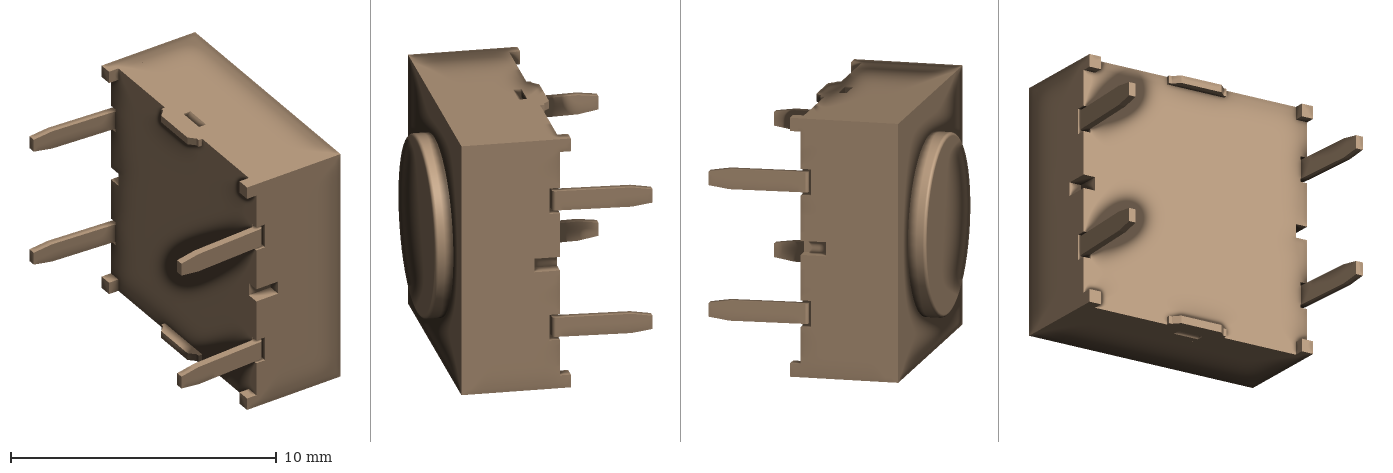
import cadquery as cq
import math


SIDE = 10.01
FOOT_HEIGHT = 0.42
BASE_THICKNESS = 0.98
COVER_HEIGHT = 2.8
BASE_BOTTOM = FOOT_HEIGHT
SEAM = BASE_BOTTOM + BASE_THICKNESS
COVER_TOP = SEAM + COVER_HEIGHT
HALF_SIDE = SIDE / 2

BUTTON_DIAMETER = 7.01
BUTTON_HEIGHT = 0.7
BUTTON_EDGE_RADIUS = 0.13

FOOT_SIZE = 0.51
NOTCH_WIDTH = 0.54
NOTCH_DEPTH = FOOT_SIZE

TAB_WIDTH = 2.56
TAB_THICKNESS = 0.3
TAB_TIP_WIDTH = 1.8
TAB_SHOULDER = 0.13
TAB_TIP_HEIGHT = 0.25
WINDOW_WIDTH = 1.07
WINDOW_HEIGHT = 0.64
LATCH_LAND = 0.32

PIN_THICKNESS = 0.29
PIN_WIDTH = 0.77
PIN_TIP_WIDTH = 0.53
PIN_TAPER_LENGTH = 0.8
PIN_PROTRUSION = 3.1
PIN_SPREAD = 10.46
PIN_PITCH = 5.08
PIN_TILT = math.radians(3.3)
PIN_BEND_RADIUS = 0.14
PIN_TOP = BASE_BOTTOM + PIN_THICKNESS

POCKET_WIDTH = 1.03
POCKET_DEPTH = 0.3
POCKET_HEIGHT = 0.4
POCKET_WALL = HALF_SIDE - POCKET_DEPTH


def block(x_size, z_size, y_low, y_high, x=0.0, z=0.0):
    """Box centred on (x, z) that fills the heights from y_low to y_high."""
    return cq.Workplane("XY").box(x_size, y_high - y_low, z_size).translate((x, (y_low + y_high) / 2, z))


def both_sides(body, plane):
    """The body together with its mirror image in the given plane."""
    return body.union(body.mirror(plane))


def tab_solid():
    """Snap tab on the +Z side: shoulders and a narrowed tip, with a latch window."""
    half_shoulder = TAB_WIDTH / 2 - TAB_SHOULDER
    tab = (
        cq.Workplane("XY", origin=(0, 0, HALF_SIDE - TAB_THICKNESS))
        .moveTo(-TAB_WIDTH / 2, SEAM)
        .lineTo(-TAB_WIDTH / 2, TAB_TIP_HEIGHT)
        .lineTo(-half_shoulder, TAB_TIP_HEIGHT)
        .lineTo(-TAB_TIP_WIDTH / 2, 0)
        .lineTo(TAB_TIP_WIDTH / 2, 0)
        .lineTo(half_shoulder, TAB_TIP_HEIGHT)
        .lineTo(TAB_WIDTH / 2, TAB_TIP_HEIGHT)
        .lineTo(TAB_WIDTH / 2, SEAM)
        .close()
        .extrude(TAB_THICKNESS)
    )
    window_z = HALF_SIDE - TAB_THICKNESS / 2
    return tab.cut(block(WINDOW_WIDTH, TAB_THICKNESS, SEAM - WINDOW_HEIGHT, SEAM, z=window_z))


def latch_solid():
    """Latch on the +Z side that fills the tab window: a flat land, then a ramp down to the tab slot."""
    slot_floor = HALF_SIDE - TAB_THICKNESS
    return (
        cq.Workplane("YZ")
        .moveTo(SEAM, slot_floor)
        .lineTo(SEAM, HALF_SIDE)
        .lineTo(SEAM - LATCH_LAND, HALF_SIDE)
        .lineTo(SEAM - WINDOW_HEIGHT, slot_floor)
        .close()
        .extrude(WINDOW_WIDTH / 2, both=True)
    )


def make_cover():
    cover = block(SIDE, SIDE, SEAM, COVER_TOP)
    return cover.union(both_sides(tab_solid(), "XY"))


def make_base():
    base = block(SIDE, SIDE, BASE_BOTTOM, SEAM)

    foot_center = HALF_SIDE - FOOT_SIZE / 2
    for x in (-foot_center, foot_center):
        for z in (-foot_center, foot_center):
            base = base.union(block(FOOT_SIZE, FOOT_SIZE, 0, BASE_BOTTOM, x, z))

    slot = block(TAB_WIDTH, TAB_THICKNESS, BASE_BOTTOM, SEAM, z=HALF_SIDE - TAB_THICKNESS / 2)
    base = base.cut(both_sides(slot, "XY")).union(both_sides(latch_solid(), "XY"))

    notch = block(NOTCH_DEPTH, NOTCH_WIDTH, BASE_BOTTOM, SEAM, x=HALF_SIDE - NOTCH_DEPTH / 2)
    base = base.cut(both_sides(notch, "YZ"))

    pocket_x = HALF_SIDE - POCKET_DEPTH / 2
    for z in (-PIN_PITCH / 2, PIN_PITCH / 2):
        pocket = block(POCKET_DEPTH, POCKET_WIDTH, BASE_BOTTOM, BASE_BOTTOM + POCKET_HEIGHT, pocket_x, z)
        base = base.cut(both_sides(pocket, "YZ"))
    return base


def make_button():
    return (
        cq.Workplane("XZ", origin=(0, COVER_TOP, 0))
        .circle(BUTTON_DIAMETER / 2)
        .extrude(-BUTTON_HEIGHT)
        .faces(">Y")
        .edges()
        .fillet(BUTTON_EDGE_RADIUS)
    )


def pin_face_outline():
    """Prism along X with the pin's outline seen from the side, narrowing towards the tip."""
    taper_start = PIN_TAPER_LENGTH - PIN_PROTRUSION
    return (
        cq.Workplane("YZ")
        .moveTo(PIN_TOP, -PIN_WIDTH / 2)
        .lineTo(taper_start, -PIN_WIDTH / 2)
        .lineTo(-PIN_PROTRUSION, -PIN_TIP_WIDTH / 2)
        .lineTo(-PIN_PROTRUSION, PIN_TIP_WIDTH / 2)
        .lineTo(taper_start, PIN_WIDTH / 2)
        .lineTo(PIN_TOP, PIN_WIDTH / 2)
        .close()
        .extrude(PIN_SPREAD)
    )


def make_pin():
    """Pin on the +X side, centred on z = 0: a leg out of the pocket wall, bent down and splayed outwards."""
    tip_outer_x = PIN_SPREAD / 2
    tip_inner_x = tip_outer_x - PIN_THICKNESS / math.cos(PIN_TILT)
    bend_outer_x = tip_outer_x - (PIN_TOP + PIN_PROTRUSION) * math.tan(PIN_TILT)
    bend_inner_x = tip_inner_x - (BASE_BOTTOM + PIN_PROTRUSION) * math.tan(PIN_TILT)
    pin = (
        cq.Workplane("XY")
        .moveTo(POCKET_WALL, PIN_TOP)
        .lineTo(bend_outer_x, PIN_TOP)
        .lineTo(tip_outer_x, -PIN_PROTRUSION)
        .lineTo(tip_inner_x, -PIN_PROTRUSION)
        .lineTo(bend_inner_x, BASE_BOTTOM)
        .lineTo(POCKET_WALL, BASE_BOTTOM)
        .close()
        .extrude(PIN_WIDTH / 2, both=True)
        .edges(cq.selectors.NearestToPointSelector((bend_outer_x, PIN_TOP, 0)))
        .fillet(PIN_BEND_RADIUS)
    )
    return pin.intersect(pin_face_outline())


cover = make_cover()
base = make_base()
button = make_button()

pins = []
for z in (-PIN_PITCH / 2, PIN_PITCH / 2):
    right_pin = make_pin().translate((0, 0, z))
    pins.append(right_pin.solids().val())
    pins.append(right_pin.mirror("YZ").solids().val())

result = cq.Compound.makeCompound([cover.solids().val(), base.solids().val(), button.solids().val(), *pins])